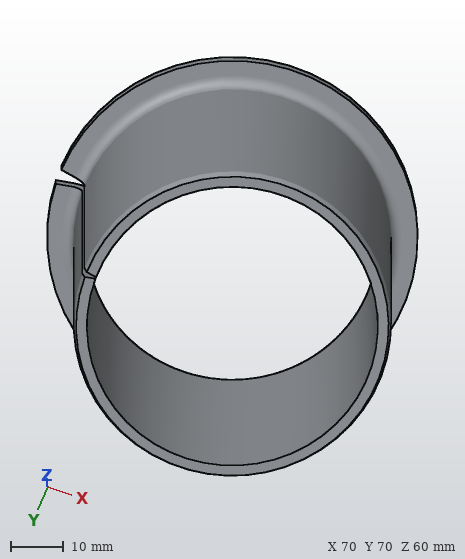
import cadquery as cq
import math

flange_diameter = 70.0
body_diameter = 60.0
height = 60.0
wall = 2.5

outer_bend_radius = 2.0
inner_bend_radius = outer_bend_radius + wall

chamfer_height = 1.8
chamfer_inset = 0.5

gap_at_bore = 0.3
gap_at_rim = 2.95
bore_overlap = 0.15

flange_radius = flange_diameter / 2
body_radius = body_diameter / 2
bore_radius = body_radius - wall
bend_center_x = body_radius + outer_bend_radius
bend_center_z = height - inner_bend_radius


def bend_point(radius):
    """Middle of the quarter-circle bend, in the (radius, height) plane."""
    offset = radius * math.sqrt(0.5)
    return (bend_center_x - offset, bend_center_z + offset)


def flanged_sleeve():
    """Constant-wall section revolved around Z, its seam on -X where the split removes it."""
    return (
        cq.Workplane("XZ")
        .moveTo(bore_radius, 0)
        .lineTo(body_radius - chamfer_inset, 0)
        .lineTo(body_radius, chamfer_height)
        .lineTo(body_radius, bend_center_z)
        .threePointArc(bend_point(outer_bend_radius), (bend_center_x, height - wall))
        .lineTo(flange_radius, height - wall)
        .lineTo(flange_radius, height)
        .lineTo(bend_center_x, height)
        .threePointArc(bend_point(inner_bend_radius), (bore_radius, bend_center_z))
        .close()
        .revolve(360, (0, 0, 0), (0, 1, 0))
        .rotate((0, 0, 0), (0, 0, 1), 180)
    )


def split_cutter():
    """Full-height wedge through the wall, tapered from the flange rim to the bore."""
    return (
        cq.Workplane("XY")
        .polyline([
            (bore_overlap - bore_radius, gap_at_bore / 2),
            (-flange_radius, gap_at_rim / 2),
            (-flange_radius, -gap_at_rim / 2),
            (bore_overlap - bore_radius, -gap_at_bore / 2),
        ])
        .close()
        .extrude(height)
    )


result = flanged_sleeve().cut(split_cutter())